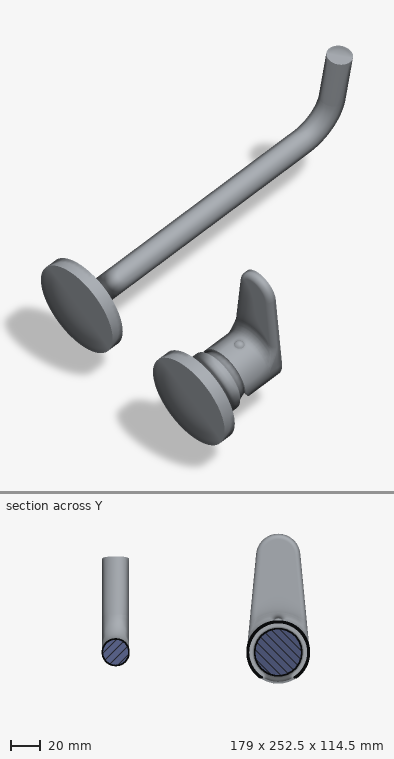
import cadquery as cq
import math


PLATE_DIAMETER = 70.0
PLATE_THICKNESS = 9.3
MIXER_SPACING = 109.0

TUBE_DIAMETER = 18.2
SPOUT_REACH = 252.5
BEND_RADIUS = 28.8
BEND_ANGLE = 80.0
SPOUT_END_LENGTH = 39.7

COLLAR_DIAMETER = 45.5
COLLAR_END_Y = 27.0
COLLAR_CHAMFER = 1.0
NECK_BASE_RADIUS = 20.7
NECK_TAPER = 18.0

BARREL_DIAMETER = 42.2
BARREL_START_Y = 32.5
BARREL_END_Y = 66.5
BARREL_WALL = 1.3
BORE_DEPTH = 17.7
RELIEF_ANGLE = 27.0

LEVER_TOP_Z = 79.5
LEVER_TIP_RADIUS = 15.0
LEVER_THICKNESS = 6.3
LEVER_RIM_RADIUS = 3.5
LEVER_ROOT_FILLET = 5.8

BUTTON_RADIUS = 3.8
BUTTON_HEIGHT = 1.8
BUTTON_Y = 46.7

SELECTION_MARGIN = 0.3

BARREL_RADIUS = BARREL_DIAMETER / 2
BORE_RADIUS = BARREL_RADIUS - BARREL_WALL
BORE_END_Y = BARREL_START_Y + BORE_DEPTH
LEVER_BACK_Y = BARREL_END_Y - LEVER_THICKNESS


def cylinder_along_y(diameter, start_y, end_y):
    """Cylinder around the Y axis between two Y positions."""
    workplane = cq.Workplane("XZ", origin=(0, start_y, 0))
    return workplane.circle(diameter / 2).extrude(start_y - end_y)


def wall_plate():
    return cylinder_along_y(PLATE_DIAMETER, 0, PLATE_THICKNESS)


def make_spout():
    """Wall plate with a tube that runs straight out and bends upwards."""
    angle = math.radians(BEND_ANGLE)
    end_run = SPOUT_END_LENGTH * math.cos(angle)
    rim_overhang = TUBE_DIAMETER / 2 * math.sin(angle)
    bend_start_y = SPOUT_REACH - rim_overhang - end_run - BEND_RADIUS * math.sin(angle)

    def bend_point(turn):
        return (
            bend_start_y + BEND_RADIUS * math.sin(turn),
            BEND_RADIUS * (1 - math.cos(turn)),
        )

    bend_end_y, bend_end_z = bend_point(angle)
    tip = (bend_end_y + end_run, bend_end_z + SPOUT_END_LENGTH * math.sin(angle))
    path = (
        cq.Workplane("YZ")
        .moveTo(PLATE_THICKNESS, 0)
        .lineTo(bend_start_y, 0)
        .threePointArc(bend_point(angle / 2), (bend_end_y, bend_end_z))
        .lineTo(*tip)
    )
    tube_section = cq.Workplane("XZ", origin=(0, PLATE_THICKNESS, 0)).circle(TUBE_DIAMETER / 2)
    return wall_plate().union(tube_section.sweep(path))


def make_mixer_base():
    """Wall plate, chamfered collar and a conical neck that ends on the floor of the barrel bore."""
    collar = cylinder_along_y(COLLAR_DIAMETER, PLATE_THICKNESS, COLLAR_END_Y)
    collar = collar.faces(">Y").chamfer(COLLAR_CHAMFER)
    neck = cq.Workplane("XZ", origin=(0, COLLAR_END_Y, 0)).circle(NECK_BASE_RADIUS)
    neck = neck.extrude(COLLAR_END_Y - BORE_END_Y, taper=NECK_TAPER)
    return wall_plate().union(collar).union(neck)


def lever_outline(start_y, end_y):
    """Prism whose straight flanks are tangent to the barrel and to the rounded lever tip."""
    tip_z = LEVER_TOP_Z - LEVER_TIP_RADIUS
    flank_angle = math.asin((BARREL_RADIUS - LEVER_TIP_RADIUS) / tip_z)

    def flank_point(radius, centre_z, side):
        return (side * radius * math.cos(flank_angle), centre_z + radius * math.sin(flank_angle))

    return (
        cq.Workplane("XZ", origin=(0, start_y, 0))
        .moveTo(*flank_point(BARREL_RADIUS, 0, 1))
        .lineTo(*flank_point(LEVER_TIP_RADIUS, tip_z, 1))
        .threePointArc((0, LEVER_TOP_Z), flank_point(LEVER_TIP_RADIUS, tip_z, -1))
        .lineTo(*flank_point(BARREL_RADIUS, 0, -1))
        .threePointArc((0, -BARREL_RADIUS), flank_point(BARREL_RADIUS, 0, 1))
        .close()
        .extrude(start_y - end_y)
    )


def lever_root():
    """Concave flare between barrel and lever back, cut to the width of the lever."""
    flare_end_y = LEVER_BACK_Y - LEVER_ROOT_FILLET
    flare = (
        cq.Workplane("XY")
        .moveTo(0, LEVER_BACK_Y)
        .lineTo(BARREL_RADIUS + LEVER_ROOT_FILLET, LEVER_BACK_Y)
        .radiusArc((BARREL_RADIUS, flare_end_y), -LEVER_ROOT_FILLET)
        .lineTo(0, flare_end_y)
        .close()
        .revolve(360, (0, 0, 0), (0, 1, 0))
    )
    return flare.intersect(lever_outline(flare_end_y, LEVER_BACK_Y))


def button():
    """Spherical cap standing on the barrel, with a short stem rooted inside the wall."""
    cap_base_z = BARREL_RADIUS - BARREL_WALL / 2
    cap_top_z = BARREL_RADIUS + BUTTON_HEIGHT
    cap_height = cap_top_z - cap_base_z
    sphere_radius = (BUTTON_RADIUS**2 + cap_height**2) / (2 * cap_height)
    sphere = cq.Workplane("XY", origin=(0, BUTTON_Y, cap_top_z - sphere_radius)).sphere(sphere_radius)
    stem = cq.Workplane("XY", origin=(0, BUTTON_Y, cap_base_z)).circle(BUTTON_RADIUS).extrude(cap_height)
    return sphere.intersect(stem)


def mouth_relief():
    """Wedge that slants the underside of the barrel mouth so that the handle can tilt."""
    depth = BARREL_RADIUS * math.tan(math.radians(RELIEF_ANGLE))
    return (
        cq.Workplane("YZ")
        .moveTo(BARREL_START_Y, 0)
        .lineTo(BARREL_START_Y + depth, -BARREL_RADIUS)
        .lineTo(BARREL_START_Y, -BARREL_RADIUS)
        .close()
        .extrude(BARREL_RADIUS, both=True)
    )


def make_handle():
    """Hollow barrel carrying an upright lever with a rounded rear rim, and a button on top."""
    barrel = cylinder_along_y(BARREL_DIAMETER, BARREL_START_Y, BARREL_END_Y)
    lever = lever_outline(LEVER_BACK_Y, BARREL_END_Y)
    handle = barrel.union(lever).union(lever_root())
    root_top_z = BARREL_RADIUS + LEVER_ROOT_FILLET
    lever_rim = cq.selectors.BoxSelector(
        (-BARREL_RADIUS, LEVER_BACK_Y - SELECTION_MARGIN, root_top_z),
        (BARREL_RADIUS, LEVER_BACK_Y + SELECTION_MARGIN, LEVER_TOP_Z),
    )
    handle = handle.edges(lever_rim).fillet(LEVER_RIM_RADIUS)
    bore = cylinder_along_y(2 * BORE_RADIUS, BARREL_START_Y, BORE_END_Y)
    return handle.cut(bore).cut(mouth_relief()).union(button())


spout = make_spout()
mixer_position = (MIXER_SPACING, 0, 0)
mixer_base = make_mixer_base().translate(mixer_position)
handle = make_handle().translate(mixer_position)

result = cq.Compound.makeCompound([spout.val(), mixer_base.val(), handle.val()])